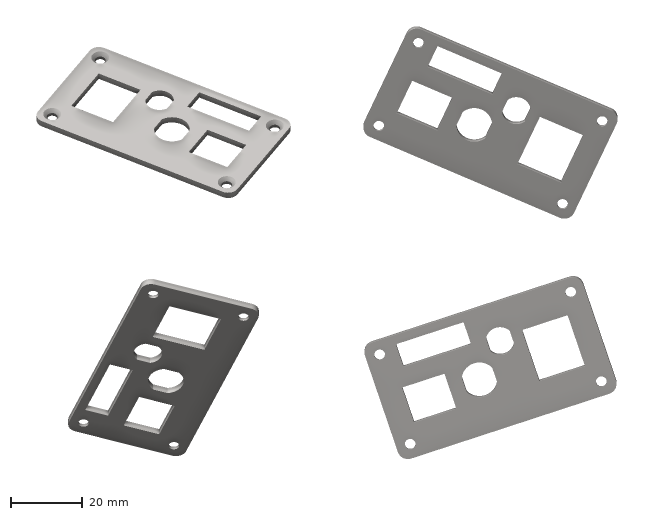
import cadquery as cq

LENGTH = 64.5
WIDTH = 35.0
THICKNESS = 2.0
CORNER_RADIUS = 3.0

SCREW_INSET = 4.0
SCREW_DIAMETER = 3.0
COUNTERSINK_DIAMETER = 5.0
COUNTERSINK_ANGLE = 90.0

GUIDE_PORT = (-18.55, -0.15, 13.5, 15.4)
TERMINAL_BLOCK = (13.0, 11.5, 20.0, 6.8)
USB_PORT = (19.0, -2.7, 12.5, 10.6)

POWER_JACK = (-5.0, 6.5, 8.0, 7.0)
HAND_CONTROL_JACK = (4.0, -2.2, 10.0, 9.0)


def make_plate():
    """Flat plate with rounded vertical corners."""
    plate = cq.Workplane("XY").box(LENGTH, WIDTH, THICKNESS, centered=(True, True, False))
    return plate.edges("|Z").fillet(CORNER_RADIUS)


def drill_screw_holes(plate):
    """Countersink the four corner holes from the top face."""
    spacing_x = LENGTH - 2 * SCREW_INSET
    spacing_y = WIDTH - 2 * SCREW_INSET
    top = plate.faces(">Z").workplane(origin=(0, 0, THICKNESS))
    corners = top.rect(spacing_x, spacing_y, forConstruction=True).vertices()
    return corners.cskHole(SCREW_DIAMETER, COUNTERSINK_DIAMETER, COUNTERSINK_ANGLE)


def rectangular_cutter(center_x, center_y, size_x, size_y):
    """Full-depth block that opens a rectangular window."""
    return cq.Workplane("XY").center(center_x, center_y).rect(size_x, size_y).extrude(THICKNESS)


def flatted_cutter(center_x, center_y, diameter, across_flats):
    """Full-depth cylinder trimmed to two parallel flats."""
    cylinder = cq.Workplane("XY").center(center_x, center_y).circle(diameter / 2).extrude(THICKNESS)
    return cylinder.intersect(rectangular_cutter(center_x, center_y, across_flats, diameter))


result = drill_screw_holes(make_plate())

for opening in (GUIDE_PORT, TERMINAL_BLOCK, USB_PORT):
    result = result.cut(rectangular_cutter(*opening))

for opening in (POWER_JACK, HAND_CONTROL_JACK):
    result = result.cut(flatted_cutter(*opening))